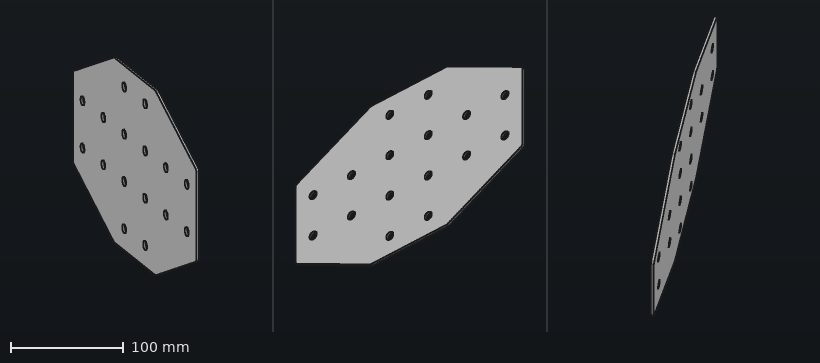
import cadquery as cq

length = 266.0
height = 176.0
thickness = 3.0
top_edge = 89.5
side_edge = 87.2
corner_radius = 3.0

hole_diameter = 8.2
hole_pitch = 45.0
columns = 6
rows = 4
arm_width = 2


def octagon_plate():
    """Octagonal plate with softened corners."""
    x_side, z_top = length / 2, height / 2
    x_top, z_side = top_edge / 2, side_edge / 2
    outline = [
        (x_side, z_side), (x_top, z_top), (-x_top, z_top), (-x_side, z_side),
        (-x_side, -z_side), (-x_top, -z_top), (x_top, -z_top), (x_side, -z_side),
    ]
    plate = cq.Workplane("XZ").polyline(outline).close().extrude(thickness / 2, both=True)
    return plate.edges("|Y").fillet(corner_radius)


def grid_offsets(count):
    """Positions of evenly pitched holes centred on zero."""
    return [(i - (count - 1) / 2) * hole_pitch for i in range(count)]


def hole_cutters():
    """Through-hole cylinders for both arms of the cross."""
    long_arm = [(x, z) for x in grid_offsets(columns) for z in grid_offsets(arm_width)]
    short_arm = [(x, z) for x in grid_offsets(arm_width) for z in grid_offsets(rows)]
    centres = sorted(set(long_arm + short_arm))
    return (
        cq.Workplane("XZ").pushPoints(centres).circle(hole_diameter / 2)
        .extrude(thickness, both=True)
    )


result = octagon_plate().cut(hole_cutters())